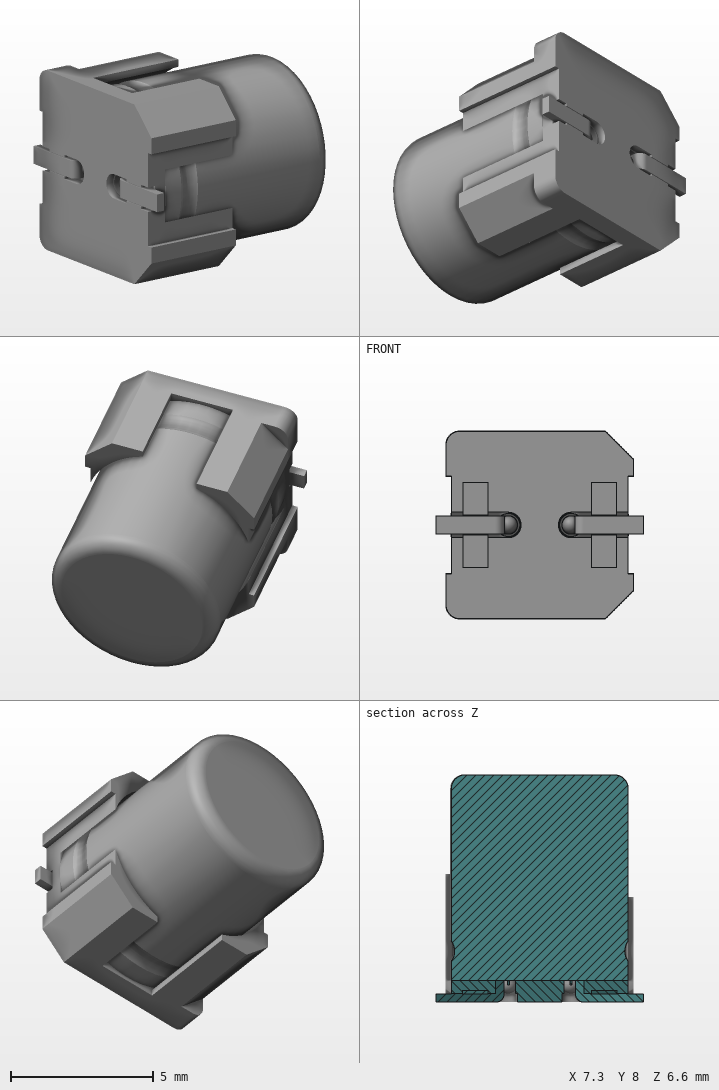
import cadquery as cq
import math


TOTAL_LENGTH = 8.0
LEAD_SPAN = 7.3
BASE_SIZE = 6.6
HALF_BASE = BASE_SIZE / 2

CAN_RADIUS = 3.14
CAN_END_ROUND = 0.5
CRIMP_Y = 1.79
CRIMP_WIDTH_BELOW = 0.34
CRIMP_WIDTH_ABOVE = 0.37
CRIMP_DEPTH = 0.12

FLOOR_THICKNESS = 0.75
PLINTH_HEIGHT = 1.0
TALL_POST_HEIGHT = 4.5
SHORT_POST_HEIGHT = 3.7
CORNER_CHAMFER = 1.0
PLINTH_ROUND = 0.5
POCKET_RADIUS = 3.25
WINDOW_WIDTH = 2.3
NOTCH_DEPTH = 0.2
NOTCH_WIDTH = 3.42

LEAD_WIDTH = 0.65
LEAD_THICKNESS = 0.3
LEAD_LEG_FACE = 1.24
WIRE_OFFSET = 1.1
WIRE_TIP_Y = LEAD_THICKNESS
GROOVE_WIDTH = 0.9
WIRE_HOLE_RADIUS = 0.41

PAD_WIDTH = 0.88
PAD_HEIGHT = 2.99
PAD_CENTRE = 2.26
PAD_SLOT_WIDTH = 0.71
PAD_THICKNESS = 0.4

SIDES = (-1, 1)


def plane_at(y):
    """Workplane parallel to the mounting face; a negative extrusion goes towards +Y."""
    return cq.Workplane("XZ", origin=(0, y, 0))


def block(x, y_start, y_end, z, width, height):
    """Box centred on (x, z), reaching from y_start to y_end."""
    return plane_at(y_start).center(x, z).rect(width, height).extrude(y_start - y_end)


def disc(x, y_start, y_end, radius):
    """Cylinder along Y, centred on (x, 0)."""
    return plane_at(y_start).center(x, 0).circle(radius).extrude(y_start - y_end)


def crimp_arc_middle(width):
    """Middle point, as (radius, distance from the deepest circle), of one arc of the crimp groove.

    The arc is parallel to the can axis at the groove's deepest circle and spans the given width.
    """
    arc_radius = (width**2 + CRIMP_DEPTH**2) / (2 * CRIMP_DEPTH)
    half_angle = math.asin(width / arc_radius) / 2
    radius = CAN_RADIUS - CRIMP_DEPTH + arc_radius * (1 - math.cos(half_angle))
    return radius, arc_radius * math.sin(half_angle)


def make_can():
    """Can with a rounded far end and a crimp groove of two arcs that meet at its deepest circle."""
    radius_below, offset_below = crimp_arc_middle(CRIMP_WIDTH_BELOW)
    radius_above, offset_above = crimp_arc_middle(CRIMP_WIDTH_ABOVE)
    round_offset = CAN_END_ROUND * (1 - math.sqrt(0.5))
    profile = (
        cq.Workplane("XY")
        .moveTo(0, FLOOR_THICKNESS)
        .lineTo(-CAN_RADIUS, FLOOR_THICKNESS)
        .lineTo(-CAN_RADIUS, CRIMP_Y - CRIMP_WIDTH_BELOW)
        .threePointArc((-radius_below, CRIMP_Y - offset_below), (CRIMP_DEPTH - CAN_RADIUS, CRIMP_Y))
        .threePointArc((-radius_above, CRIMP_Y + offset_above), (-CAN_RADIUS, CRIMP_Y + CRIMP_WIDTH_ABOVE))
        .lineTo(-CAN_RADIUS, TOTAL_LENGTH - CAN_END_ROUND)
        .threePointArc(
            (round_offset - CAN_RADIUS, TOTAL_LENGTH - round_offset),
            (CAN_END_ROUND - CAN_RADIUS, TOTAL_LENGTH),
        )
        .lineTo(0, TOTAL_LENGTH)
        .close()
    )
    return profile.revolve(360, (0, 0, 0), (0, 1, 0))


def make_wire_end():
    """Short length of round wire below the can, with a hemispherical tip."""
    radius = LEAD_WIDTH / 2
    profile = (
        cq.Workplane("XY", origin=(WIRE_OFFSET, 0, 0))
        .moveTo(0, WIRE_TIP_Y)
        .radiusArc((-radius, WIRE_TIP_Y + radius), radius)
        .lineTo(-radius, FLOOR_THICKNESS)
        .lineTo(0, FLOOR_THICKNESS)
        .close()
    )
    return profile.revolve(360, (0, 0, 0), (0, 1, 0))


def make_lead(side):
    """Flat strip that bends up through the base, with the domed end of the can's wire on its leg."""
    tip = LEAD_SPAN / 2
    leg_back = LEAD_LEG_FACE + LEAD_THICKNESS
    strip = (
        cq.Workplane("XY")
        .moveTo(tip, 0)
        .lineTo(tip, LEAD_THICKNESS)
        .lineTo(leg_back, LEAD_THICKNESS)
        .lineTo(leg_back, FLOOR_THICKNESS)
        .lineTo(LEAD_LEG_FACE, FLOOR_THICKNESS)
        .lineTo(LEAD_LEG_FACE, LEAD_THICKNESS)
        .radiusArc((leg_back, 0), -LEAD_THICKNESS)
        .close()
        .extrude(LEAD_WIDTH / 2, both=True)
    )
    lead = strip.union(make_wire_end())
    return lead if side > 0 else lead.mirror("YZ")


def make_pad(side):
    """Solder pad with a slot for the lead; its two halves join behind the lead."""
    pad = block(side * PAD_CENTRE, 0, PAD_THICKNESS, 0, PAD_WIDTH, PAD_HEIGHT)
    return pad.cut(block(side * PAD_CENTRE, 0, LEAD_THICKNESS, 0, PAD_WIDTH, PAD_SLOT_WIDTH))


def make_base_blank():
    """Square plinth with corner posts; the +X corners are chamfered over the full height."""
    plinth = block(0, 0, PLINTH_HEIGHT, 0, BASE_SIZE, BASE_SIZE)
    plinth = plinth.edges("|Y and <X").fillet(PLINTH_ROUND)
    plinth = plinth.edges("|Y and >X").chamfer(CORNER_CHAMFER)
    posts = block(0, PLINTH_HEIGHT, TALL_POST_HEIGHT, 0, BASE_SIZE, BASE_SIZE)
    posts = posts.edges("|Y").chamfer(CORNER_CHAMFER)
    above_short_posts = block(HALF_BASE / 2, SHORT_POST_HEIGHT, TALL_POST_HEIGHT, 0, HALF_BASE, BASE_SIZE)
    return plinth.union(posts.cut(above_short_posts))


def make_lead_passage(side):
    """Round-ended groove in the mounting face and the wire hole through the floor."""
    groove_length = HALF_BASE - WIRE_OFFSET
    groove_centre = side * (WIRE_OFFSET + groove_length / 2)
    groove = block(groove_centre, 0, LEAD_THICKNESS, 0, groove_length, GROOVE_WIDTH)
    groove_end = disc(side * WIRE_OFFSET, 0, LEAD_THICKNESS, GROOVE_WIDTH / 2)
    hole = disc(side * WIRE_OFFSET, 0, FLOOR_THICKNESS, WIRE_HOLE_RADIUS)
    return groove.union(groove_end).union(hole)


def make_base(leads, pads):
    """Moulded base with the can pocket, windows, side notches and recesses for leads and pads."""
    base = make_base_blank()
    base = base.cut(disc(0, FLOOR_THICKNESS, TALL_POST_HEIGHT, POCKET_RADIUS))
    base = base.cut(block(0, FLOOR_THICKNESS, TALL_POST_HEIGHT, 0, WINDOW_WIDTH, BASE_SIZE))
    for side in SIDES:
        notch_centre = side * (HALF_BASE - NOTCH_DEPTH / 2)
        base = base.cut(block(notch_centre, 0, TALL_POST_HEIGHT, 0, NOTCH_DEPTH, NOTCH_WIDTH))
        base = base.cut(make_lead_passage(side))
    for body in leads + pads:
        base = base.cut(body)
    return base


can = make_can()
leads = [make_lead(side) for side in SIDES]
pads = [make_pad(side) for side in SIDES]
base = make_base(leads, pads)

result = cq.Compound.makeCompound([body.solids().val() for body in [can, base, *leads, *pads]])